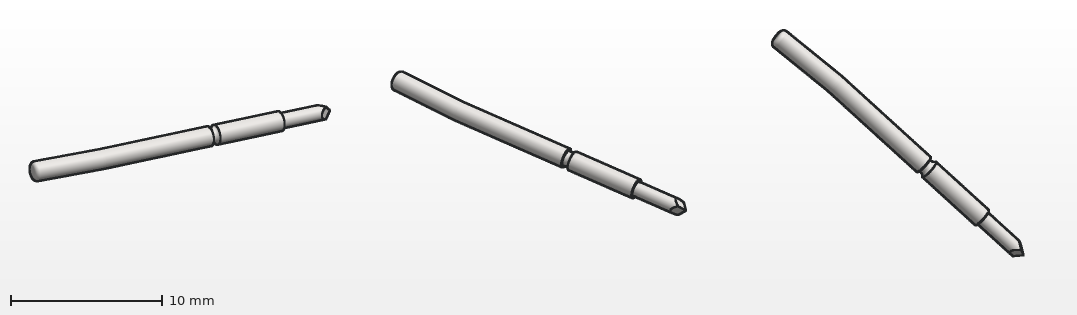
import cadquery as cq
import math

body_diameter = 1.35
body_radius = body_diameter / 2
bend_start = 13.39

groove_front = 4.85
groove_floor_start = 5.1
groove_rear = 5.33
groove_depth = 0.15

bend_angle = 3.3
bend_length = 0.18
tail_end_fillet = 0.3

plunger_diameter = 1.05
plunger_radius = plunger_diameter / 2
plunger_length = 3.8
facet_count = 3
facet_angle = 30.0

overall_length = 22.3

bend_radians = math.radians(bend_angle)
bend_radius = bend_length / bend_radians
bend_rise = bend_radius * math.sin(bend_radians)
bend_offset = bend_radius * (1 - math.cos(bend_radians))
end_flat_radius = body_radius - tail_end_fillet
rear_reach = (
    end_flat_radius * math.sin(bend_radians) + tail_end_fillet * (1 - math.cos(bend_radians))
)
tail_rise = overall_length - plunger_length - bend_start - bend_rise - rear_reach
tail_offset = tail_rise * math.tan(bend_radians)


def make_body():
    """Straight, gently bent and straight tail stretches swept as one rod."""
    bend_middle = bend_radians / 2
    bend_end = (-bend_offset, -bend_start - bend_rise)
    path = (
        cq.Workplane("XY")
        .lineTo(0, -bend_start)
        .threePointArc(
            (
                -bend_radius * (1 - math.cos(bend_middle)),
                -bend_start - bend_radius * math.sin(bend_middle),
            ),
            bend_end,
        )
        .lineTo(bend_end[0] - tail_offset, bend_end[1] - tail_rise)
    )
    rod = cq.Workplane("XZ").circle(body_radius).sweep(path)
    return rod.faces("<Y").edges().fillet(tail_end_fillet)


def make_groove():
    """Ring whose front flank is an arc tangent to the groove floor."""
    floor_radius = body_radius - groove_depth
    flank_length = groove_floor_start - groove_front
    arc_radius = (flank_length**2 + groove_depth**2) / (2 * groove_depth)
    middle_angle = math.asin(flank_length / arc_radius) / 2
    flank_middle = (
        floor_radius + arc_radius * (1 - math.cos(middle_angle)),
        -groove_floor_start + arc_radius * math.sin(middle_angle),
    )
    return (
        cq.Workplane("XY")
        .moveTo(body_radius, -groove_front)
        .threePointArc(flank_middle, (floor_radius, -groove_floor_start))
        .lineTo(floor_radius, -groove_rear)
        .lineTo(body_diameter, -groove_rear)
        .lineTo(body_diameter, -groove_front)
        .close()
        .revolve(360, (0, 0, 0), (0, 1, 0))
    )


def make_plunger():
    """Round pin trimmed by a pyramid with one ridge toward -X."""
    pin = cq.Workplane("XZ").circle(plunger_radius).extrude(-plunger_length)
    ridge_angles = [math.pi + 2 * math.pi * i / facet_count for i in range(facet_count)]
    facet_distance = plunger_length * math.tan(math.radians(facet_angle))
    corner_radius = facet_distance / math.cos(math.pi / facet_count)
    apex = cq.Vector(0, plunger_length, 0)
    corners = [
        cq.Vector(corner_radius * math.cos(angle), 0, corner_radius * math.sin(angle))
        for angle in ridge_angles
    ]
    faces = [cq.Face.makeFromWires(cq.Wire.makePolygon(corners, close=True))]
    for i in range(facet_count):
        side = [corners[i - 1], corners[i], apex]
        faces.append(cq.Face.makeFromWires(cq.Wire.makePolygon(side, close=True)))
    pyramid = cq.Solid.makeSolid(cq.Shell.makeShell(faces))
    return pin.intersect(cq.Workplane(obj=pyramid))


result = make_body().cut(make_groove()).union(make_plunger())